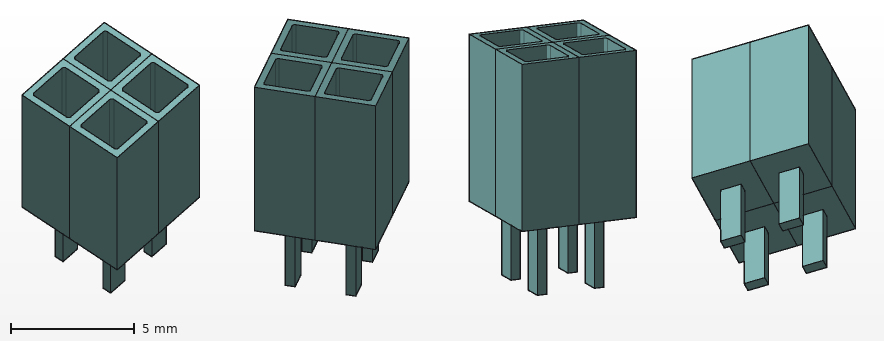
import cadquery as cq

PITCH = 2.54
COLUMNS = 2
ROWS = 2

TOTAL_HEIGHT = 10.0
PIN_LENGTH = 3.0
HOUSING_HEIGHT = TOTAL_HEIGHT - PIN_LENGTH
POCKET_SIDE = 1.95
POCKET_CORNER_RADIUS = 0.12
WALL = (PITCH - POCKET_SIDE) / 2
FLOOR = WALL

PIN_WIDTH_X = 0.42
PIN_WIDTH_Y = 0.9


def make_housing(x, y):
    """Cell housing with its underside at Z = 0 and a pocket open at the top."""
    block = cq.Workplane("XY").box(PITCH, PITCH, HOUSING_HEIGHT, centered=(True, True, False))
    pocket = (
        cq.Workplane("XY", origin=(0, 0, FLOOR))
        .rect(POCKET_SIDE, POCKET_SIDE)
        .extrude(HOUSING_HEIGHT - FLOOR)
        .edges("|Z")
        .fillet(POCKET_CORNER_RADIUS)
    )
    return block.cut(pocket).translate((x, y, 0))


def make_pin(x, y):
    """Blade hanging from the centre of a housing's underside."""
    return (
        cq.Workplane("XY", origin=(x, y, -PIN_LENGTH))
        .rect(PIN_WIDTH_X, PIN_WIDTH_Y)
        .extrude(PIN_LENGTH)
    )


housings = []
pins = []
for column in range(COLUMNS):
    for row in range(ROWS):
        cell_x = (column - (COLUMNS - 1) / 2) * PITCH
        cell_y = (row - (ROWS - 1) / 2) * PITCH
        housings.append(make_housing(cell_x, cell_y).val())
        pins.append(make_pin(cell_x, cell_y).val())

result = cq.Compound.makeCompound([*housings, *pins])